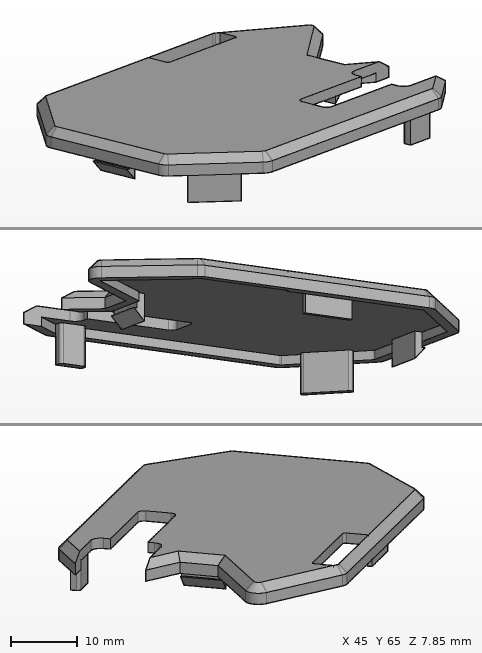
import cadquery as cq
import math

WIDTH = 45.0
LENGTH = 65.0
TOTAL_HEIGHT = 7.85
COVER_HEIGHT = 3.05
PLATE_THICKNESS = 1.6
RIM_WIDTH = 1.75
EDGE_CHAMFER = 1.3
CORNER_RADIUS = 2.0
CORNER_CUT = 11.25
CORNER_CUT_ANGLE = 45.0

EAR_X = 12.2
EAR_ANGLE = 55.0
VALLEY_Y = 53.3

SLOT_WIDE = 11.0
SLOT_NARROW = 5.85
SLOT_STEP_Y = 49.05
SLOT_END_Y = 34.0
SLOT_STEP_RADIUS = 1.5
SLOT_END_RADIUS = 1.0

WINDOW_WIDTH = 3.9
WINDOW_LENGTH = 16.25
WINDOW_START_Y = 35.95
WINDOW_RADIUS = 0.45

HOOK_WIDTH = 6.55
HOOK_THICKNESS = 1.3
HOOK_BARB = 0.5
HOOK_BARB_DROP = 0.9
HOOK_DROP = 2.8

PAD_RADIUS = 0.5
SIDE_PAD_WIDTH = 1.5
SIDE_PAD_LENGTH = 4.55
SIDE_PAD_START_Y = 46.7
CORNER_PAD_WIDTH = 1.1
CORNER_PAD_LENGTH = 8.0
TAB_THICKNESS = 0.7
TAB_LENGTH = 8.1
TAB_START_Y = 24.5
TAB_DROP = 2.9

HALF_WIDTH = WIDTH / 2
PLATE_BOTTOM = COVER_HEIGHT - PLATE_THICKNESS
PAD_DROP = TOTAL_HEIGHT - COVER_HEIGHT
EAR_SLOPE = math.tan(math.radians(EAR_ANGLE))
EAR_SHARP_Y = LENGTH + CORNER_RADIUS * (1 / math.cos(math.radians(EAR_ANGLE)) - 1)
SHOULDER_Y = EAR_SHARP_Y - EAR_SLOPE * (HALF_WIDTH - EAR_X)
VALLEY_HALF = EAR_X - (EAR_SHARP_Y - VALLEY_Y) / EAR_SLOPE


def outline_solid(height):
    """Prism of the cat-head outline with its convex corners rounded."""
    right_side = [
        (HALF_WIDTH - CORNER_CUT, 0),
        (HALF_WIDTH, CORNER_CUT),
        (HALF_WIDTH, SHOULDER_Y),
        (EAR_X, EAR_SHARP_Y),
    ]
    right_points = right_side + [(VALLEY_HALF, VALLEY_Y)]
    left_points = [(-x, y) for x, y in reversed(right_points)]
    prism = cq.Workplane("XY").polyline(right_points + left_points).close().extrude(height)
    for x, y in right_side:
        for side in (-1, 1):
            corner = cq.selectors.NearestToPointSelector((side * x, y, height / 2))
            prism = prism.edges("|Z").edges(corner).fillet(CORNER_RADIUS)
    return prism


def inset_solid(inset, height):
    """Prism of the outline moved inwards by inset."""
    wire = outline_solid(height).faces("<Z").wires().val()
    inner = wire.offset2D(-inset, "intersection")
    return cq.Workplane("XY").add(inner).toPending().extrude(height)


def block(x_min, x_max, y_min, y_max, z_min, z_max):
    size = (x_max - x_min, y_max - y_min, z_max - z_min)
    return cq.Workplane("XY").box(*size, centered=False).translate((x_min, y_min, z_min))


def ear_slot():
    wide = block(EAR_X - SLOT_WIDE / 2, EAR_X + SLOT_WIDE / 2, SLOT_STEP_Y, LENGTH, 0, COVER_HEIGHT)
    narrow = block(EAR_X - SLOT_NARROW / 2, EAR_X + SLOT_NARROW / 2, SLOT_END_Y, LENGTH, 0, COVER_HEIGHT)
    wide = wide.edges("|Z and <Y").fillet(SLOT_STEP_RADIUS)
    narrow = narrow.edges("|Z and <Y").fillet(SLOT_END_RADIUS)
    return wide.union(narrow)


def side_window():
    """Window whose outer side follows the inner edge of the chamfer."""
    left = EDGE_CHAMFER - HALF_WIDTH
    end_y = WINDOW_START_Y + WINDOW_LENGTH
    window = block(left, left + WINDOW_WIDTH, WINDOW_START_Y, end_y, 0, COVER_HEIGHT)
    window = window.edges("|Z and >X").fillet(WINDOW_RADIUS)
    return window.intersect(inset_solid(EDGE_CHAMFER, COVER_HEIGHT))


def snap_hook(outer_y, outward):
    """Hook whose barb points along Y in the outward direction (+1 or -1)."""
    inner_y = outer_y - outward * HOOK_THICKNESS
    barb_y = outer_y + outward * HOOK_BARB
    profile = [
        (inner_y, PLATE_BOTTOM),
        (outer_y, PLATE_BOTTOM),
        (outer_y, -HOOK_BARB_DROP),
        (barb_y, -HOOK_BARB_DROP),
        (inner_y, -HOOK_DROP),
    ]
    return cq.Workplane("YZ").polyline(profile).close().extrude(HOOK_WIDTH / 2, both=True)


def side_pad():
    outer_x = HALF_WIDTH - RIM_WIDTH
    end_y = SIDE_PAD_START_Y + SIDE_PAD_LENGTH
    pad = block(outer_x - SIDE_PAD_WIDTH, outer_x, SIDE_PAD_START_Y, end_y, -PAD_DROP, PLATE_BOTTOM)
    return pad.edges("|Z and <X").fillet(PAD_RADIUS)


def corner_pad():
    """Pad along the middle of the bottom right corner cut."""
    half = CORNER_PAD_LENGTH / 2
    pad = block(-half, half, RIM_WIDTH, RIM_WIDTH + CORNER_PAD_WIDTH, -PAD_DROP, PLATE_BOTTOM)
    pad = pad.edges("|Z and >Y").fillet(PAD_RADIUS)
    middle = (HALF_WIDTH - CORNER_CUT / 2, CORNER_CUT / 2, 0)
    return pad.rotate((0, 0, 0), (0, 0, 1), CORNER_CUT_ANGLE).translate(middle)


def side_tab():
    left = RIM_WIDTH - HALF_WIDTH
    return block(left, left + TAB_THICKNESS, TAB_START_Y, TAB_START_Y + TAB_LENGTH, -TAB_DROP, PLATE_BOTTOM)


cover = outline_solid(COVER_HEIGHT).faces(">Z").chamfer(EDGE_CHAMFER)
cover = cover.cut(inset_solid(RIM_WIDTH, PLATE_BOTTOM))
cover = cover.cut(ear_slot()).cut(side_window())

result = (
    cover.union(snap_hook(RIM_WIDTH, -1))
    .union(snap_hook(VALLEY_Y - RIM_WIDTH, 1))
    .union(side_pad())
    .union(corner_pad())
    .union(side_tab())
)